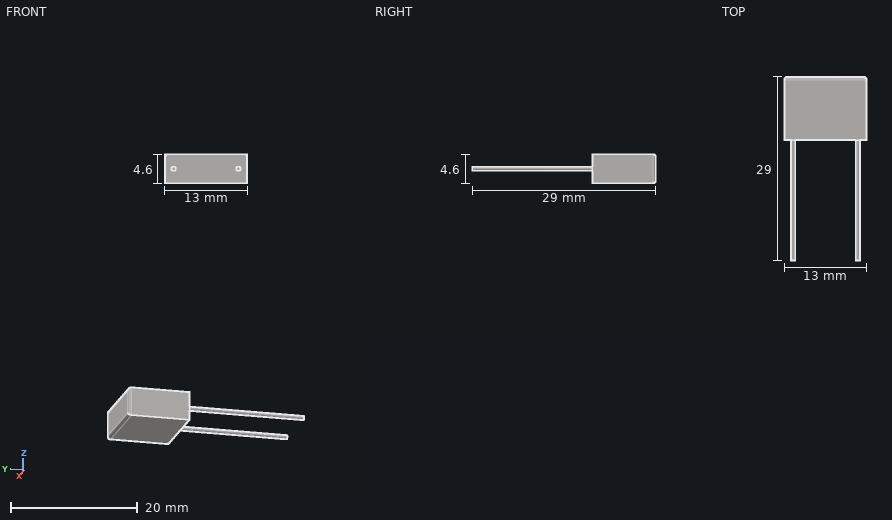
import cadquery as cq

total_length = 29.0
body_width = 13.0
body_height = 4.6
body_depth = 10.0

end_fillet = 0.5

lead_diameter = 0.7
lead_spacing = 10.2
lead_length = total_length - body_depth


def make_body():
    """Rectangular capacitor body: leads leave at Y = 0, the rounded closed end is at +Y."""
    block = cq.Workplane("XY").box(body_width, body_depth, body_height, centered=(True, False, True))
    return block.faces(">Y").edges().fillet(end_fillet)


def make_lead(x):
    """Straight round wire that butts against the Y = 0 face and runs toward -Y."""
    return cq.Workplane("XZ").center(x, 0).circle(lead_diameter / 2).extrude(lead_length)


body = make_body()
leads = [make_lead(side * lead_spacing / 2) for side in (-1, 1)]

result = cq.Compound.makeCompound([body.val(), *[lead.val() for lead in leads]])